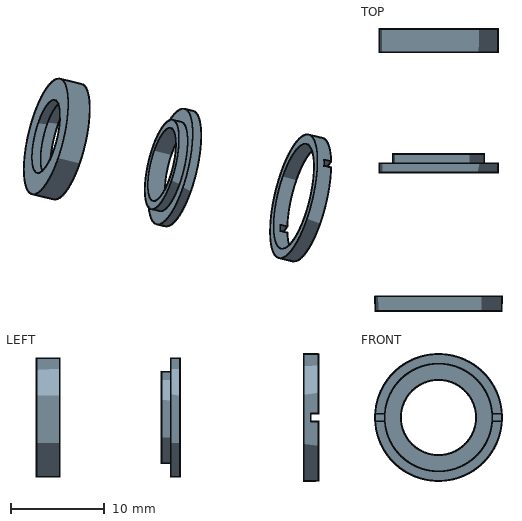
import cadquery as cq

total_length = 30.07
bore_diameter = 8.0
body_diameter = 12.7

housing_length = 2.5
housing_recess_diameter = 10.0
housing_recess_depth = 1.5

washer_front = 14.75
flange_thickness = 1.0
spigot_diameter = 9.8
spigot_length = 1.0

ring_diameter = 13.55
ring_inner_diameter = 11.5
ring_thickness = 1.6
slot_width = 0.8
slot_depth = 0.8


def cylinder(diameter, front, length):
    """Cylinder on the Y axis, running from front toward +Y."""
    start = cq.Workplane("XZ", origin=(0, front, 0))
    return start.circle(diameter / 2).extrude(-length)


def make_housing():
    front = total_length - housing_length
    body = cylinder(body_diameter, front, housing_length)
    bore = cylinder(bore_diameter, front, housing_length)
    recess = cylinder(housing_recess_diameter, front, housing_recess_depth)
    return body.cut(bore).cut(recess)


def make_washer():
    flange = cylinder(body_diameter, washer_front, flange_thickness)
    spigot = cylinder(spigot_diameter, washer_front + flange_thickness, spigot_length)
    bore = cylinder(bore_diameter, washer_front, flange_thickness + spigot_length)
    return flange.union(spigot).cut(bore)


def make_slotted_ring():
    body = cylinder(ring_diameter, 0, ring_thickness)
    opening = cylinder(ring_inner_diameter, 0, ring_thickness)
    slots = cq.Workplane("XY").box(
        ring_diameter, slot_depth, slot_width, centered=(True, False, True)
    )
    return body.cut(opening).cut(slots)


housing = make_housing()
washer = make_washer()
slotted_ring = make_slotted_ring()

result = cq.Compound.makeCompound([housing.val(), washer.val(), slotted_ring.val()])